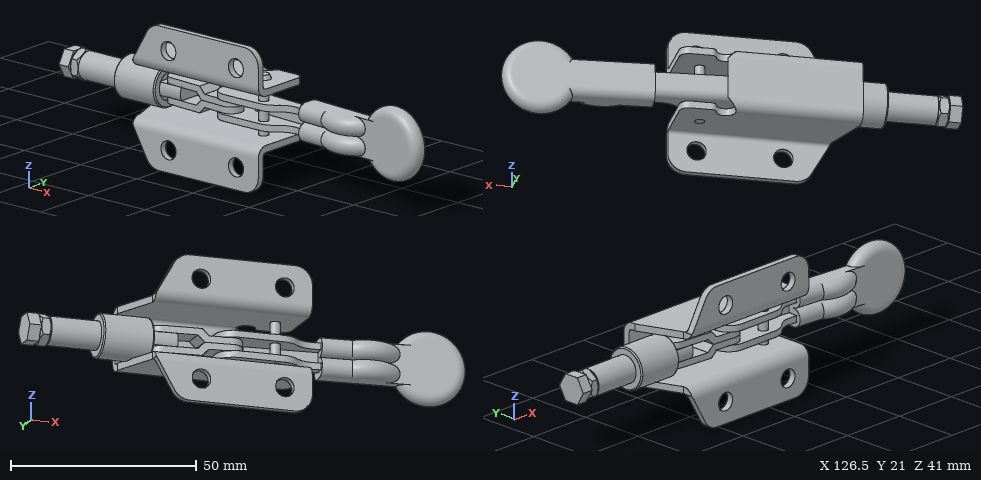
import cadquery as cq
import math


sheet = 2.0
bend_outer = 3.2
bend_inner = bend_outer - sheet
bracket_back = 8.0
bracket_depth = 21.0
bracket_front = bracket_back - bracket_depth
bracket_mid_z = 1.0
bracket_half_height = 20.5
wall_outer = 9.0
wall_inner = wall_outer - sheet
back_inner = bracket_back - sheet
bracket_left = 28.3
bracket_right = 78.3
wall_straight_depth = 4.3
flange_left = 33.4
flange_corner_x = 40.0
flange_corner_radius = 5.0
wall_slant_depth = 17.7
notch_x = 65.8
notch_radius = 2.7
notch_edge_radius = 1.4
wall_corner_radius = 2.7
mount_hole_radius = 2.7
mount_hole_x = (46.3, 70.3)
mount_hole_half_spacing = 14.0

barrel_start = 20.9
barrel_end = 35.4
barrel_radius = 6.2
barrel_chamfer = 0.4
plunger_radius = 4.0
plunger_start = 6.6
plunger_end = 42.9
tongue_start = 34.9
bolt_head_length = 3.4
hex_corner_radius = 4.5
bolt_radius = 2.4
bolt_end = 15.2
nut_chamfer_length = 0.6
nut_chamfer_depth = 1.0

plate = 1.9
link_radius = 3.4
link_start_x = 39.3
link_end_x = 58.7
link_end_y = -1.4
nose_x = 60.0
nose_y = -0.8
joggle_start = 48.6
joggle_shift = 1.3

lever_half_width = 2 * plate
lever_nose_radius = 5.0
lever_curve_start = 72.5
lever_curve_mid = (77.2, -3.9)
lever_curve_end = 82.5
lever_end = 96.1
lever_edge_radius = 2.3
web = 2.0
web_start = 64.0
arm_top_at_bracket = 3.4
arm_bottom_at_bracket = -1.6

pivot_x = 71.4
pivot_y = -2.7
pivot_radius = 1.4
rivet_head_radius = 2.2
rivet_head_top_radius = 1.5
rivet_head_height = 1.3

tilt = 4.3
grip_half_thickness = 2.7
disc_radius = 10.5
disc_y = -0.5
neck_length = 31.1
neck_edge_radius = 2.5
rib_radius = 2.8
rib_offset = 2.8
neck_half_width = rib_offset + rib_radius
bulge_back = 17.1
bulge_centre_height = 3.8
bulge_radius = 8.0

slope = math.tan(math.radians(tilt))
overall_length = 126.5
disc_rim_centre = disc_radius - grip_half_thickness
disc_x = overall_length - grip_half_thickness - disc_rim_centre * math.cos(math.radians(tilt))
wall_top_z = bracket_mid_z + wall_outer
wall_bottom_z = bracket_mid_z - wall_outer


def x_cylinder(start, end, radius):
    return cq.Workplane("YZ").workplane(offset=start).circle(radius).extrude(end - start)


def hex_prism(start, end, first_corner_angle):
    """Hexagon along X; the angle of its first corner is measured from +Y."""
    hexagon = cq.Workplane("YZ").workplane(offset=start).polygon(6, 2 * hex_corner_radius)
    return hexagon.extrude(end - start).rotate((0, 0, 0), (1, 0, 0), first_corner_angle)


def fillet_at(body, points, radius):
    """Round the edges whose midpoints lie nearest to the given points."""
    edges = [body.edges(cq.selectors.NearestToPointSelector(p)).val() for p in points]
    return body.newObject(edges).fillet(radius)


def make_hat_section():
    """Bent sheet centred on Z = 0: back plate, two walls and two outward flanges."""
    inside = [
        (bracket_front, bracket_half_height),
        (bracket_front, wall_inner),
        (back_inner, wall_inner),
    ]
    outside = [
        (bracket_front + sheet, bracket_half_height),
        (bracket_front + sheet, wall_outer),
        (bracket_back, wall_outer),
    ]
    upper = outside[::-1] + inside
    lower = [(y, -z) for y, z in upper[::-1]]
    section = cq.Workplane("YZ").workplane(offset=bracket_left).polyline(upper + lower).close()
    hat = section.extrude(bracket_right - bracket_left)
    middle_x = (bracket_left + bracket_right) / 2
    outer_corners = [(bracket_front, wall_inner), (bracket_back, wall_outer)]
    inner_corners = [(bracket_front + sheet, wall_outer), (back_inner, wall_inner)]
    for corners, radius in ((outer_corners, bend_outer), (inner_corners, bend_inner)):
        points = [(middle_x, y, side * z) for y, z in corners for side in (1, -1)]
        hat = fillet_at(hat, points, radius)
    return hat


def straighten_wall_ends(hat):
    """Beyond the stop notch the walls stand flat, without a bend toward the back plate."""
    length = bracket_right - notch_x
    bend_zone = (
        cq.Workplane("XY")
        .box(length, bend_outer, 2 * wall_outer, centered=(False, False, True))
        .translate((notch_x, bracket_back - bend_outer, 0))
    )
    hat = hat.cut(bend_zone)
    for side in (1, -1):
        wall_end = cq.Workplane("XY").box(length, bend_outer, sheet, centered=(False, False, True))
        wall_z = side * (wall_outer - sheet / 2)
        hat = hat.union(wall_end.translate((notch_x, bracket_back - bend_outer, wall_z)))
    return hat.clean()


def make_side_profile():
    """Outline of the bracket walls in XY, with the stop notch at the end of the back plate."""
    notch_y = bracket_back - notch_radius
    notch_end_x = notch_x + math.sqrt(notch_radius**2 - (back_inner - notch_y) ** 2)
    diagonal = notch_radius / math.sqrt(2)
    outline = (
        cq.Workplane("XY")
        .moveTo(bracket_left, bracket_back)
        .lineTo(notch_x, bracket_back)
        .threePointArc((notch_x - diagonal, notch_y - diagonal), (notch_end_x, back_inner))
        .lineTo(bracket_right, back_inner)
        .lineTo(bracket_right, bracket_front)
        .lineTo(flange_left, bracket_front)
        .lineTo(flange_left, bracket_back - wall_slant_depth)
        .lineTo(bracket_left, bracket_back - wall_straight_depth)
        .close()
    )
    profile = outline.extrude(bracket_half_height, both=True)
    profile = fillet_at(profile, [(notch_end_x, back_inner, 0)], notch_edge_radius)
    return fillet_at(profile, [(bracket_right, back_inner, 0)], wall_corner_radius)


def make_plan_profile():
    """Outline of the flanges in XZ, with slanted left ends and rounded corners."""
    upper = [
        (bracket_left, wall_outer),
        (flange_left, wall_outer),
        (flange_corner_x, bracket_half_height),
        (bracket_right, bracket_half_height),
    ]
    lower = [(x, -z) for x, z in upper[::-1]]
    plan = cq.Workplane("XZ").workplane(offset=-bracket_back).polyline(upper + lower).close()
    plan = plan.extrude(bracket_back - bracket_front)
    middle_y = (bracket_back + bracket_front) / 2
    corners = [
        (x, middle_y, side * bracket_half_height)
        for x in (flange_corner_x, bracket_right)
        for side in (1, -1)
    ]
    return fillet_at(plan, corners, flange_corner_radius)


def make_barrel_blank():
    blank = x_cylinder(barrel_start, barrel_end, barrel_radius)
    return blank.faces("<X or >X").chamfer(barrel_chamfer)


def make_bracket():
    bracket = straighten_wall_ends(make_hat_section())
    bracket = bracket.intersect(make_side_profile()).intersect(make_plan_profile())
    holes = [(x, side * mount_hole_half_spacing) for x in mount_hole_x for side in (1, -1)]
    drills = cq.Workplane("XZ").pushPoints(holes).circle(mount_hole_radius).extrude(-bracket_front)
    bracket = bracket.cut(drills).translate((0, 0, bracket_mid_z))
    return bracket.cut(make_barrel_blank()).cut(make_rivet())


def make_barrel():
    return make_barrel_blank().cut(x_cylinder(barrel_start, barrel_end, plunger_radius))


def make_plunger():
    """Round rod, bored for the bolt, with a flat tongue between the links."""
    rod = x_cylinder(plunger_start, plunger_end, plunger_radius)
    tongue_length = plunger_end - tongue_start
    for side in (1, -1):
        cheek = cq.Workplane("XY").box(
            tongue_length, 2 * plunger_radius, plunger_radius, centered=(False, True, True)
        )
        cheek_z = side * (plate + plunger_radius / 2)
        rod = rod.cut(cheek.translate((tongue_start, 0, cheek_z)))
    return rod.cut(x_cylinder(plunger_start, bolt_end, bolt_radius))


def make_bolt():
    return hex_prism(0, bolt_head_length, 0).union(x_cylinder(0, bolt_end, bolt_radius))


def make_nut():
    length = plunger_start - bolt_head_length
    face_radius = hex_corner_radius - nut_chamfer_depth
    envelope = (
        cq.Workplane("XY")
        .moveTo(0, 0)
        .lineTo(0, face_radius)
        .lineTo(nut_chamfer_length, hex_corner_radius)
        .lineTo(length - nut_chamfer_length, hex_corner_radius)
        .lineTo(length, face_radius)
        .lineTo(length, 0)
        .close()
        .revolve(360, (0, 0, 0), (1, 0, 0))
        .translate((bolt_head_length, 0, 0))
    )
    nut = hex_prism(bolt_head_length, plunger_start, 90).intersect(envelope)
    return nut.cut(x_cylinder(bolt_head_length, plunger_start, bolt_radius))


def make_link(side):
    """Plate beside the plunger tongue, joggled inward to meet its twin between the lever plates."""
    link_left = link_start_x - link_radius
    link_right = link_end_x + link_radius
    joggle_end = joggle_start + plate
    strip_points = [
        (link_left, plate),
        (joggle_start, plate),
        (joggle_end, 0),
        (link_right, 0),
        (link_right, plate),
        (joggle_end + joggle_shift, plate),
        (joggle_start + joggle_shift, 2 * plate),
        (link_left, 2 * plate),
    ]
    strip = cq.Workplane("XZ").polyline([(x, side * z) for x, z in strip_points]).close()
    strip = strip.extrude(2 * link_radius, both=True)
    span = math.hypot(link_end_x - link_start_x, link_end_y)
    angle = math.degrees(math.atan2(link_end_y, link_end_x - link_start_x))
    outline = (
        cq.Workplane("XY")
        .center((link_start_x + link_end_x) / 2, link_end_y / 2)
        .slot2D(span + 2 * link_radius, 2 * link_radius, angle)
        .extrude(2 * plate, both=True)
    )
    return strip.intersect(outline)


def make_lever():
    """Channel with a deep front half, whose narrow arm runs into the grip."""

    def arm_y(start_y, x):
        return start_y - slope * (x - bracket_right)

    nose_left = nose_x - lever_nose_radius
    body_bottom = nose_y - lever_nose_radius
    nose_diagonal = lever_nose_radius / math.sqrt(2)

    body = (
        cq.Workplane("XY")
        .moveTo(nose_left, arm_y(arm_top_at_bracket, nose_left))
        .lineTo(lever_end, arm_y(arm_top_at_bracket, lever_end))
        .lineTo(lever_end, arm_y(arm_bottom_at_bracket, lever_end))
        .lineTo(lever_curve_end, arm_y(arm_bottom_at_bracket, lever_curve_end))
        .tangentArcPoint(lever_curve_mid, relative=False)
        .tangentArcPoint((lever_curve_start, body_bottom), relative=False)
        .lineTo(nose_x, body_bottom)
        .threePointArc((nose_x - nose_diagonal, nose_y - nose_diagonal), (nose_left, nose_y))
        .close()
        .extrude(lever_half_width, both=True)
    )
    top_middle_x = (nose_left + lever_end) / 2
    top_middle_y = arm_y(arm_top_at_bracket, top_middle_x)
    top_edges = [(top_middle_x, top_middle_y, side * lever_half_width) for side in (1, -1)]
    body = fillet_at(body, top_edges, lever_edge_radius)
    channel = (
        cq.Workplane("XY")
        .moveTo(web_start, arm_y(arm_top_at_bracket - web, web_start))
        .lineTo(lever_end, arm_y(arm_top_at_bracket - web, lever_end))
        .lineTo(lever_end, bracket_front)
        .lineTo(nose_left, bracket_front)
        .lineTo(nose_left, bracket_back)
        .lineTo(web_start, bracket_back)
        .close()
        .extrude(plate, both=True)
    )
    return body.cut(channel).cut(make_rivet())


def make_rivet():
    """Pin flush with the lower wall, with a conical head on the upper wall."""
    shank = cq.Workplane("XY").workplane(offset=wall_bottom_z).circle(pivot_radius)
    shank = shank.extrude(wall_top_z - wall_bottom_z)
    head = (
        cq.Workplane("XY")
        .workplane(offset=wall_top_z)
        .circle(rivet_head_radius)
        .workplane(offset=rivet_head_height)
        .circle(rivet_head_top_radius)
        .loft()
    )
    return shank.union(head).translate((pivot_x, pivot_y, 0))


def make_grip():
    """Built level about the disc centre, then tilted and hollowed for the lever arm."""
    bottom = -grip_half_thickness
    disc = (
        cq.Workplane("XY")
        .moveTo(0, bottom)
        .lineTo(disc_rim_centre, bottom)
        .threePointArc((disc_radius, 0), (disc_rim_centre, grip_half_thickness))
        .lineTo(0, grip_half_thickness)
        .close()
        .revolve(360, (0, 0, 0), (0, 1, 0))
    )
    neck = (
        cq.Workplane("XY")
        .box(neck_length, 2 * grip_half_thickness, 2 * neck_half_width)
        .translate((-neck_length / 2, 0, 0))
    )
    neck = neck.edges("|X and >Y").fillet(neck_edge_radius)
    grip = disc.union(neck)

    bulge_x = -bulge_back
    rib_length = neck_length - bulge_back
    below_neck = (
        cq.Workplane("XY")
        .box(neck_length, neck_length, 2 * neck_half_width, centered=(True, False, True))
        .translate((bulge_x, bottom - neck_length, 0))
    )
    bulge = (
        cq.Workplane("XY")
        .center(bulge_x, bulge_centre_height)
        .circle(bulge_radius)
        .extrude(neck_half_width, both=True)
        .intersect(below_neck)
    )
    grip = grip.union(bulge)
    for side in (1, -1):
        rib_z = side * rib_offset
        straight_rib = x_cylinder(-neck_length, -neck_length + rib_length, rib_radius)
        straight_rib = straight_rib.translate((0, bottom, rib_z))
        ring = cq.Solid.makeTorus(
            bulge_radius, rib_radius, cq.Vector(bulge_x, bulge_centre_height, rib_z), cq.Vector(0, 0, 1)
        )
        grip = grip.union(straight_rib).union(cq.Workplane(obj=ring).intersect(below_neck))

    grip = grip.rotate((0, 0, 0), (0, 0, 1), -tilt).translate((disc_x, disc_y, 0))
    return grip.cut(make_lever())


bracket = make_bracket()
barrel = make_barrel()
plunger = make_plunger()
bolt = make_bolt()
nut = make_nut()
links = [make_link(side) for side in (1, -1)]
lever = make_lever()
rivet = make_rivet()
grip = make_grip()

result = cq.Compound.makeCompound(
    [
        bracket.val(),
        barrel.val(),
        plunger.val(),
        bolt.val(),
        nut.val(),
        *[link.val() for link in links],
        lever.val(),
        rivet.val(),
        grip.val(),
    ]
)